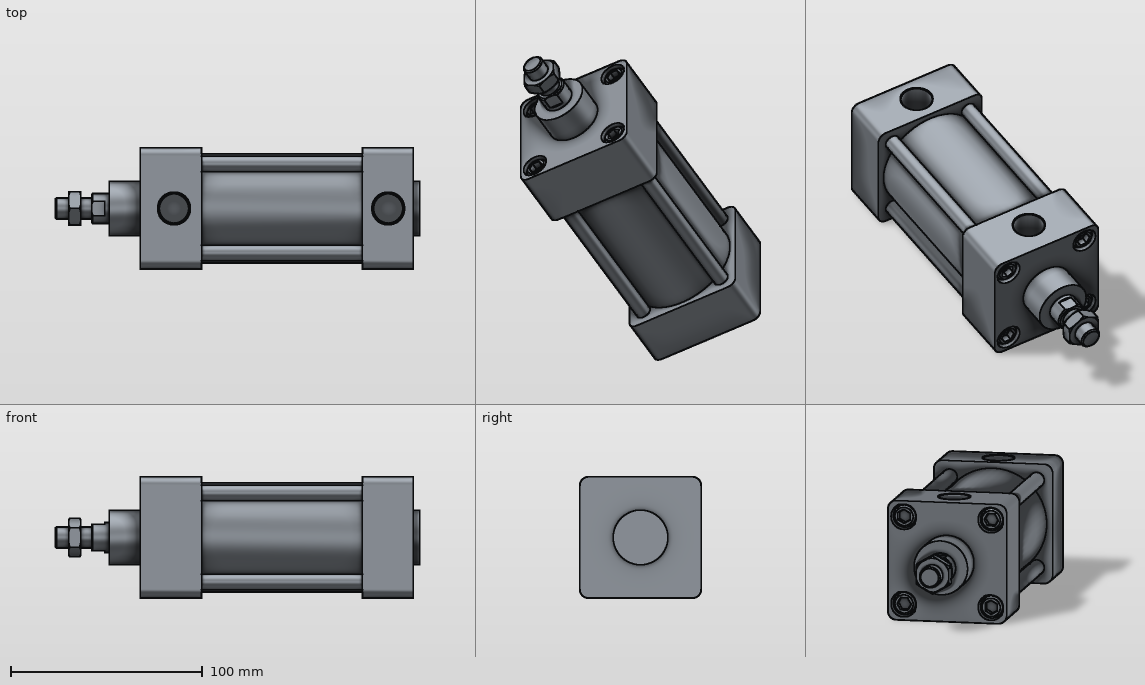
import cadquery as cq
import math

LENGTH = 190.5

CAP_SIDE = 63.5
CAP_CORNER_RADIUS = 4.5
COLLAR_DIAMETER = 28.5
COLLAR_X = 28.2
FRONT_CAP_X = 44.4
FRONT_CAP_LENGTH = 32.2
REAR_CAP_LENGTH = 26.7
REAR_BOSS_LENGTH = 3.5
REAR_BOSS_X = LENGTH - REAR_BOSS_LENGTH
REAR_CAP_X = REAR_BOSS_X - REAR_CAP_LENGTH

PORT_DIAMETER = 16.4
PORT_FLOOR_DIAMETER = 15.2
PORT_CHAMFER = 0.4
PORT_DEPTH = 19.0
FRONT_PORT_X = 62.1
REAR_PORT_X = 174.0

BARREL_DIAMETER = 57.2
BARREL_X = FRONT_CAP_X + FRONT_CAP_LENGTH

ROD_DIAMETER = 15.8
ROD_SHOULDER_X = 19.0
ROD_CHAMFER = 0.8
THREAD_DIAMETER = 11.0
WRENCH_FLAT_LENGTH = 6.9
WRENCH_FLAT_SPAN = 14.0

NUT_X = 7.0
NUT_THICKNESS = 6.5
NUT_ACROSS_FLATS = 17.5
NUT_FACE_DIAMETER = 18.0
NUT_CHAMFER_ANGLE = 30.0

TIE_ROD_SPACING = 46.5
TIE_ROD_DIAMETER = 8.0
TIE_ROD_ENGAGEMENT = REAR_CAP_LENGTH / 2
HEAD_DIAMETER = 11.8
HEAD_FACE_DIAMETER = 9.7
HEAD_HEIGHT = TIE_ROD_DIAMETER
HEAD_RECESS = 1.0
COUNTERBORE_DIAMETER = 13.5
SOCKET_ACROSS_FLATS = 6.5
SOCKET_DEPTH = HEAD_HEIGHT / 2

HEAD_X = FRONT_CAP_X + HEAD_RECESS
HEAD_SEAT_X = HEAD_X + HEAD_HEIGHT
TIE_ROD_END_X = REAR_CAP_X + TIE_ROD_ENGAGEMENT
TIE_ROD_ANGLES = [45, 135, 225, 315]


def plane_at(x):
    """A workplane facing +X at the given X, with local x along Y and local y along Z."""
    return cq.Workplane("YZ", origin=(x, 0, 0))


def cylinder(diameter, start_x, end_x):
    return plane_at(start_x).circle(diameter / 2).extrude(end_x - start_x)


def hex_prism(across_flats, start_x, length):
    """A hexagonal prism along X with two corners at +Z and -Z."""
    corner_diameter = across_flats / math.cos(math.radians(30))
    prism = plane_at(start_x).polygon(6, corner_diameter).extrude(length)
    return prism.rotate((0, 0, 0), (1, 0, 0), 90)


def at_tie_rod(shape, angle):
    """Move a shape on the X axis to a cap corner, turning it with the corner."""
    offset = TIE_ROD_SPACING / math.sqrt(2)
    moved = shape.rotate((0, 0, 0), (1, 0, 0), -TIE_ROD_ANGLES[0]).translate((0, offset, 0))
    return moved.rotate((0, 0, 0), (1, 0, 0), angle)


def cap_block(start_x, length):
    block = plane_at(start_x).rect(CAP_SIDE, CAP_SIDE).extrude(length)
    return block.edges("|X").fillet(CAP_CORNER_RADIUS)


def port(x):
    """The cutter for a tapered blind port, flaring at the top face to form the mouth chamfer."""
    taper = math.degrees(math.atan((PORT_DIAMETER - PORT_FLOOR_DIAMETER) / 2 / PORT_DEPTH))
    top = cq.Workplane("XY", origin=(x, 0, CAP_SIDE / 2))
    bore = top.circle(PORT_DIAMETER / 2).extrude(-PORT_DEPTH, taper=taper)
    flare = top.circle(PORT_DIAMETER / 2 + PORT_CHAMFER).extrude(-PORT_CHAMFER, taper=45)
    return bore.union(flare)


def make_front_cap():
    cap = cap_block(FRONT_CAP_X, FRONT_CAP_LENGTH)
    cap = cap.union(cylinder(COLLAR_DIAMETER, COLLAR_X, BARREL_X))
    cap = cap.cut(port(FRONT_PORT_X))
    cap = cap.cut(cylinder(ROD_DIAMETER, COLLAR_X, BARREL_X))
    for angle in TIE_ROD_ANGLES:
        cap = cap.cut(at_tie_rod(cylinder(COUNTERBORE_DIAMETER, FRONT_CAP_X, HEAD_SEAT_X), angle))
        cap = cap.cut(at_tie_rod(cylinder(TIE_ROD_DIAMETER, HEAD_SEAT_X, BARREL_X), angle))
    return cap


def make_rear_cap():
    cap = cap_block(REAR_CAP_X, REAR_CAP_LENGTH)
    cap = cap.union(cylinder(COLLAR_DIAMETER, REAR_BOSS_X, LENGTH))
    cap = cap.cut(port(REAR_PORT_X))
    for angle in TIE_ROD_ANGLES:
        cap = cap.cut(at_tie_rod(cylinder(TIE_ROD_DIAMETER, REAR_CAP_X, TIE_ROD_END_X), angle))
    return cap


def make_barrel():
    return cylinder(BARREL_DIAMETER, BARREL_X, REAR_CAP_X)


def make_rod():
    shank = cylinder(ROD_DIAMETER, ROD_SHOULDER_X, BARREL_X).faces("<X").chamfer(ROD_CHAMFER)
    thread = cylinder(THREAD_DIAMETER, 0, ROD_SHOULDER_X).faces("<X").chamfer(ROD_CHAMFER)
    flats_zone = plane_at(ROD_SHOULDER_X).rect(ROD_DIAMETER, ROD_DIAMETER)
    flats_zone = flats_zone.rect(ROD_DIAMETER, WRENCH_FLAT_SPAN).extrude(WRENCH_FLAT_LENGTH)
    return shank.cut(flats_zone).union(thread)


def make_nut():
    nut = hex_prism(NUT_ACROSS_FLATS, NUT_X, NUT_THICKNESS)
    corner_radius = NUT_ACROSS_FLATS / math.sqrt(3)
    face_radius = NUT_FACE_DIAMETER / 2
    rise = (corner_radius - face_radius) * math.tan(math.radians(NUT_CHAMFER_ANGLE))
    end_x = NUT_X + NUT_THICKNESS
    profile = [
        (NUT_X, 0),
        (NUT_X, face_radius),
        (NUT_X + rise, corner_radius),
        (end_x - rise, corner_radius),
        (end_x, face_radius),
        (end_x, 0),
    ]
    blank = cq.Workplane("XY").polyline(profile).close().revolve(360, (0, 0, 0), (1, 0, 0))
    return nut.intersect(blank).cut(cylinder(THREAD_DIAMETER, NUT_X, end_x))


def make_tie_rod(angle):
    head = cylinder(HEAD_DIAMETER, HEAD_X, HEAD_SEAT_X)
    head = head.faces("<X").chamfer((HEAD_DIAMETER - HEAD_FACE_DIAMETER) / 2)
    head = head.cut(hex_prism(SOCKET_ACROSS_FLATS, HEAD_X, SOCKET_DEPTH))
    tie_rod = head.union(cylinder(TIE_ROD_DIAMETER, HEAD_SEAT_X, TIE_ROD_END_X))
    return at_tie_rod(tie_rod, angle)


front_cap = make_front_cap()
rear_cap = make_rear_cap()
barrel = make_barrel()
rod = make_rod()
nut = make_nut()
tie_rods = [make_tie_rod(angle) for angle in TIE_ROD_ANGLES]

result = cq.Compound.makeCompound(
    [
        front_cap.val(),
        rear_cap.val(),
        barrel.val(),
        rod.val(),
        nut.val(),
        *[tie_rod.val() for tie_rod in tie_rods],
    ]
)